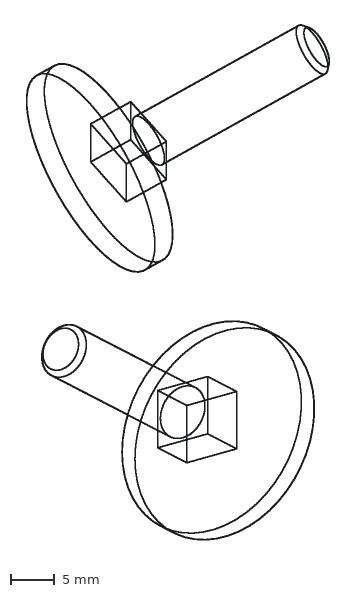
import cadquery as cq

total_length = 31.75
head_diameter = 25.6
head_thickness = 2.5
neck_side = 7.1
neck_length = 5.62
shank_diameter = 6.35
tip_chamfer = 0.65

shank_start = head_thickness + neck_length
shank_length = total_length - shank_start


def plane_at(y):
    """Plane across the bolt axis at distance y, with its normal along +Y."""
    return cq.Workplane(cq.Plane(origin=(0, y, 0), xDir=(1, 0, 0), normal=(0, 1, 0)))


head = plane_at(0).circle(head_diameter / 2).extrude(head_thickness)

neck = plane_at(head_thickness).rect(neck_side, neck_side).extrude(neck_length)

shank = plane_at(shank_start).circle(shank_diameter / 2).extrude(shank_length)
shank = shank.faces(">Y").chamfer(tip_chamfer)

result = head.union(neck).union(shank)